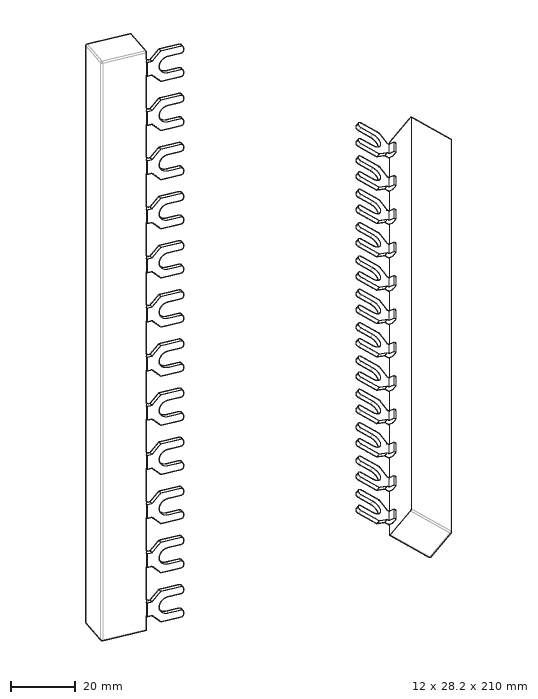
import cadquery as cq
import math

width = 12.0
depth = 15.3
height = 210.0
edge_radius = 0.5

fork_count = 12
fork_pitch = 17.8
first_fork_z = 7.2

fork_tip_y = 28.24
fork_width = 11.1
slot_width = 5.9
slot_depth = 8.3
prong_length = 7.8
taper_length = 3.0
neck_width = 5.0
prong_tip_radius = 1.0

plate_thickness = 1.4
plate_x = 4.0
jog_offset = 1.6
jog_start = 0.65
jog_end = 1.5
root_depth = 2.0


def make_housing():
    """Bar with every edge rounded except those around its back face."""
    bar = cq.Workplane("XY").box(width, depth, height, centered=(True, False, False))
    return bar.edges("not >Y").fillet(edge_radius)


def make_fork_outline():
    """Solid with the fork's YZ outline, spanning the full X range of the jogged plate."""
    half_width = fork_width / 2
    half_neck = neck_width / 2
    slot_radius = slot_width / 2
    root_y = depth - root_depth
    shoulder_y = fork_tip_y - prong_length
    neck_y = shoulder_y - taper_length
    slot_bottom_y = fork_tip_y - slot_depth
    slot_center_y = slot_bottom_y + slot_radius
    outline = (
        cq.Workplane("YZ", origin=(plate_x - jog_offset, 0, 0))
        .moveTo(root_y, -half_neck)
        .lineTo(neck_y, -half_neck)
        .lineTo(shoulder_y, -half_width)
        .lineTo(fork_tip_y, -half_width)
        .lineTo(fork_tip_y, -slot_radius)
        .lineTo(slot_center_y, -slot_radius)
        .threePointArc((slot_bottom_y, 0), (slot_center_y, slot_radius))
        .lineTo(fork_tip_y, slot_radius)
        .lineTo(fork_tip_y, half_width)
        .lineTo(shoulder_y, half_width)
        .lineTo(neck_y, half_neck)
        .lineTo(root_y, half_neck)
        .close()
        .extrude(jog_offset + plate_thickness)
    )
    return outline.faces(">Y").edges("|X").fillet(prong_tip_radius)


def make_fork_profile():
    """Jogged plate of constant thickness, as tall as the fork is wide."""
    jog_angle = math.atan2(jog_end - jog_start, jog_offset)
    bend_shift = plate_thickness * math.tan(math.pi / 4 - jog_angle / 2)
    root_x = plate_x - jog_offset
    jog_start_y = depth + jog_start
    jog_end_y = depth + jog_end
    points = [
        (root_x, depth - root_depth),
        (root_x, jog_start_y),
        (plate_x, jog_end_y),
        (plate_x, fork_tip_y),
        (plate_x + plate_thickness, fork_tip_y),
        (plate_x + plate_thickness, jog_end_y - bend_shift),
        (root_x + plate_thickness, jog_start_y - bend_shift),
        (root_x + plate_thickness, depth - root_depth),
    ]
    return cq.Workplane("XY").polyline(points).close().extrude(fork_width / 2, both=True)


def make_fork():
    return make_fork_outline().intersect(make_fork_profile())


fork = make_fork()
result = make_housing()
for i in range(fork_count):
    result = result.union(fork.translate((0, 0, first_fork_z + i * fork_pitch)))